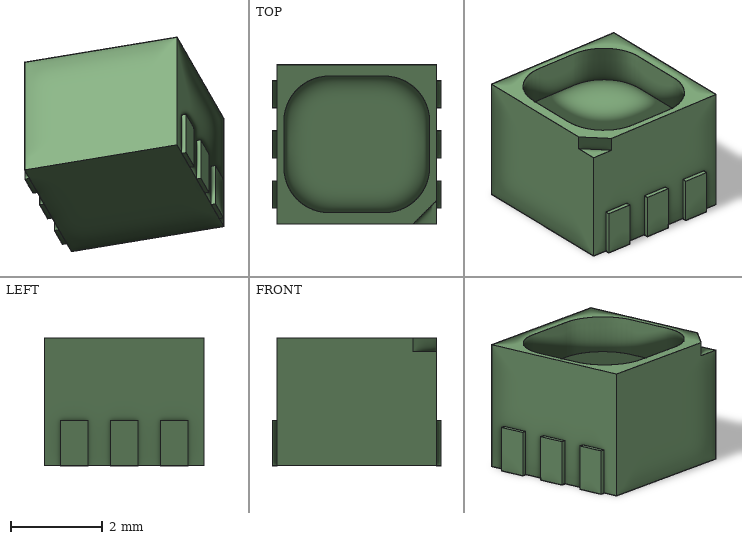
import cadquery as cq

overall_length = 3.7
body_side = 3.5
overall_height = 2.81

terminal_thickness = (overall_length - body_side) / 2
terminal_width = 0.6
terminal_height = 1.0
terminal_pitch = 1.1
terminals_per_side = 3
standoff = 0.007

cavity_length = 3.2
cavity_width = 3.0
cavity_radius = 1.0
cavity_depth = 0.8

notch_leg = 0.515
notch_depth = 0.3


def make_housing():
    """Square block with a rounded cavity and one notched top corner."""
    block = (
        cq.Workplane("XY")
        .workplane(offset=standoff)
        .rect(body_side, body_side)
        .extrude(overall_height - standoff)
    )
    cavity = (
        cq.Workplane("XY")
        .workplane(offset=overall_height - cavity_depth)
        .rect(cavity_length, cavity_width)
        .extrude(cavity_depth)
        .edges("|Z")
        .fillet(cavity_radius)
    )
    corner_x = body_side / 2
    corner_y = -body_side / 2
    notch = (
        cq.Workplane("XY")
        .workplane(offset=overall_height - notch_depth)
        .moveTo(corner_x, corner_y)
        .lineTo(corner_x, corner_y + notch_leg)
        .lineTo(corner_x - notch_leg, corner_y)
        .close()
        .extrude(notch_depth)
    )
    return block.cut(cavity).cut(notch)


def make_terminal(side, y_center):
    """One plate on the +X side (side = 1) or the -X side (side = -1)."""
    x_center = side * (body_side + terminal_thickness) / 2
    return (
        cq.Workplane("XY")
        .center(x_center, y_center)
        .rect(terminal_thickness, terminal_width)
        .extrude(terminal_height)
    )


housing = make_housing()

terminals = []
for side in (-1, 1):
    for index in range(terminals_per_side):
        y_center = (index - (terminals_per_side - 1) / 2) * terminal_pitch
        terminals.append(make_terminal(side, y_center).val())

result = cq.Compound.makeCompound([housing.val(), *terminals])